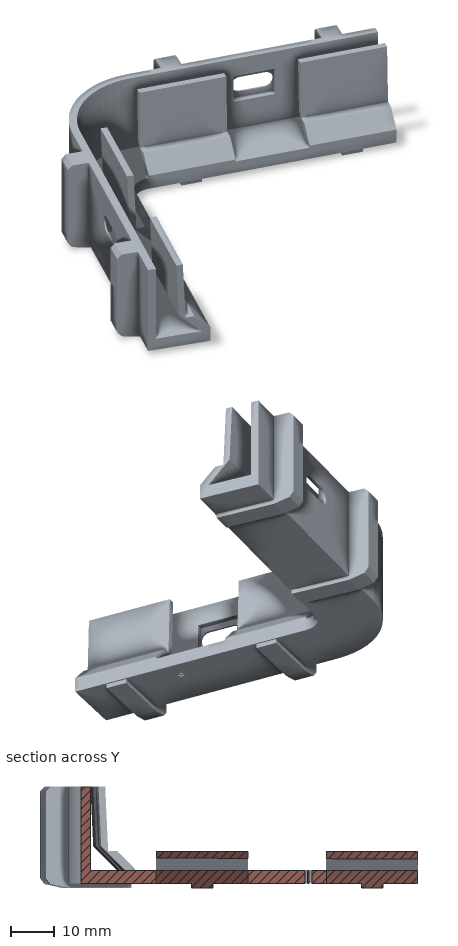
import cadquery as cq
import math

ARM_ANGLE = 92.0
YAW = -0.25
OUTER_RADIUS = 20.0
CHANNEL_WIDTH = 15.0
CLIP_LENGTH = 21.0
SLOT_LENGTH = 17.9

WALL_HEIGHT = 22.1
WALL_THICKNESS = 1.9
FLOOR_THICKNESS = 3.0

WEB_RUN = 3.9
WEB_BASE_HEIGHT = 3.55
LEDGE_HEIGHT = WEB_BASE_HEIGHT + WEB_RUN
PLATE_TOP_DEPTH = 6.75
PLATE_THICKNESS = 1.6
PLATE_LEAN = 2.6

STRAP_WIDTH = 5.0
STRAP_DEPTH = 5.0
STRAP_DROP = 1.0
STRAP_REACH = 14.6
STRAP_CHAMFER = 1.0
STRAP_FOOT_CHAMFER = 1.3
STRAP_SLOPE = 12.0

HOLE_LENGTH = 10.1
HOLE_HEIGHT = 4.0
HOLE_Z = 13.9
HOLE_LIP = 0.4
RECESS_HEIGHT = 6.9

DISC_HOLE_DIAMETER = 1.6
DISC_DIAMETER = 0.7
DISC_OFFSET = 4.85
DISC_DEPTH = 10.4

OUTER_Y = -OUTER_RADIUS
INNER_Y = OUTER_Y + CHANNEL_WIDTH
TURN = ARM_ANGLE - 180.0

INNER_CLIP_X = CLIP_LENGTH / 2
SLOT_X = CLIP_LENGTH + SLOT_LENGTH / 2
OUTER_CLIP_X = CLIP_LENGTH + SLOT_LENGTH + CLIP_LENGTH / 2


def bar(points, length, x):
    """Extrude a Y-Z outline along X, centred on x."""
    return cq.Workplane("YZ", origin=(x - length / 2, 0, 0)).polyline(points).close().extrude(length)


def channel_outline():
    """L-shaped cross-section of the floor and the outer wall."""
    wall_inner_y = OUTER_Y + WALL_THICKNESS
    return [
        (OUTER_Y, 0),
        (INNER_Y, 0),
        (INNER_Y, FLOOR_THICKNESS),
        (wall_inner_y, FLOOR_THICKNESS),
        (wall_inner_y, WALL_HEIGHT),
        (OUTER_Y, WALL_HEIGHT),
    ]


def clip_outline():
    """Sloping web on the floor's inner edge, and the leaning plate it carries."""
    lean = math.tan(math.radians(PLATE_LEAN))
    front_top_y = OUTER_Y + PLATE_TOP_DEPTH
    back_top_y = front_top_y + PLATE_THICKNESS
    back_bottom_y = back_top_y + lean * (WALL_HEIGHT - LEDGE_HEIGHT)

    under_sum = INNER_Y + WEB_BASE_HEIGHT - WALL_THICKNESS * math.sqrt(2)
    front_bottom_z = (under_sum - front_top_y - lean * WALL_HEIGHT) / (1 - lean)
    front_bottom_y = under_sum - front_bottom_z
    return [
        (under_sum - FLOOR_THICKNESS, FLOOR_THICKNESS),
        (INNER_Y, FLOOR_THICKNESS),
        (INNER_Y, WEB_BASE_HEIGHT),
        (INNER_Y - WEB_RUN, LEDGE_HEIGHT),
        (back_bottom_y, LEDGE_HEIGHT),
        (back_top_y, WALL_HEIGHT),
        (front_top_y, WALL_HEIGHT),
        (front_bottom_y, front_bottom_z),
    ]


def strap_outline():
    """Strap from the wall top down the outside and back below the floor."""
    tip_y = OUTER_Y - STRAP_DEPTH
    chamfer_y = tip_y + STRAP_CHAMFER
    slope_rise = (OUTER_Y - chamfer_y) * math.tan(math.radians(STRAP_SLOPE))
    slope_end_z = slope_rise - STRAP_DROP
    return [
        (OUTER_Y, WALL_HEIGHT),
        (chamfer_y, WALL_HEIGHT),
        (tip_y, WALL_HEIGHT - STRAP_CHAMFER),
        (tip_y, slope_end_z + STRAP_FOOT_CHAMFER),
        (chamfer_y, slope_end_z),
        (OUTER_Y, -STRAP_DROP),
        (OUTER_Y + STRAP_REACH, -STRAP_DROP),
        (OUTER_Y + STRAP_REACH, 0),
        (OUTER_Y, 0),
    ]


def clip_section(x):
    """Channel length with a clip plate inside and a strap outside."""
    channel = bar(channel_outline(), CLIP_LENGTH, x)
    clip = bar(clip_outline(), CLIP_LENGTH, x)
    strap = bar(strap_outline(), STRAP_WIDTH, x)
    return channel.union(clip).union(strap)


def slot_section(x):
    """Channel length with an oblong screw slot through its wall."""
    channel = bar(channel_outline(), SLOT_LENGTH, x)
    face = cq.Workplane("XZ", origin=(x, OUTER_Y, HOLE_Z))
    slot = face.slot2D(HOLE_LENGTH, HOLE_HEIGHT).extrude(-HOLE_LIP)
    recess = (
        face.workplane(offset=-HOLE_LIP)
        .rect(HOLE_LENGTH, RECESS_HEIGHT)
        .extrude(HOLE_LIP - WALL_THICKNESS)
    )
    return channel.cut(slot).cut(recess)


def corner_section():
    """Channel cross-section swept around the corner from the first arm to the second."""
    outline = cq.Workplane("YZ").polyline(channel_outline()).close()
    return outline.revolve(-TURN, (0, 0), (0, -1))


def floor_cylinder(diameter):
    """Cylinder through the first slotted floor at the disc's place."""
    place = (SLOT_X + DISC_OFFSET, OUTER_Y + DISC_DEPTH, 0)
    return cq.Workplane("XY", origin=place).circle(diameter / 2).extrude(FLOOR_THICKNESS)


def about_z(body, degrees):
    return body.rotate((0, 0, 0), (0, 0, 1), degrees)


corner = corner_section()
disc = floor_cylinder(DISC_DIAMETER)

clip_sections = []
for clip_x in (INNER_CLIP_X, OUTER_CLIP_X):
    clip_sections.append(clip_section(clip_x))
    clip_sections.append(about_z(clip_section(-clip_x), TURN))

slot_sections = [
    slot_section(SLOT_X).cut(floor_cylinder(DISC_HOLE_DIAMETER)),
    about_z(slot_section(-SLOT_X), TURN),
]

bodies = [corner, disc, *clip_sections, *slot_sections]
result = cq.Compound.makeCompound([about_z(body, YAW).val() for body in bodies])